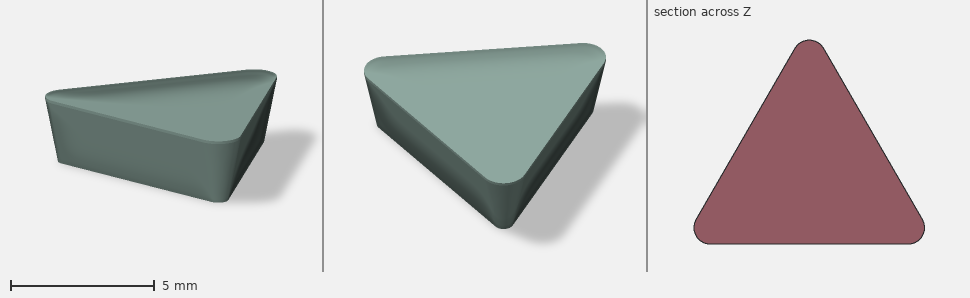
import cadquery as cq
import math

INSCRIBED_DIAMETER = 5.56
NOSE_RADIUS = 0.794
THICKNESS = 2.38
LAND_HEIGHT = 0.1
RELIEF_ANGLE = 11.0

CORNER_COUNT = 3
FIRST_CORNER_ANGLE = 90.0

flank_height = THICKNESS - LAND_HEIGHT
flank_inset = flank_height * math.tan(math.radians(RELIEF_ANGLE))


def polar(radius, angle):
    """Point at the given radius and angle (degrees) about the insert centre."""
    return (
        radius * math.cos(math.radians(angle)),
        radius * math.sin(math.radians(angle)),
    )


def rounded_triangle(inset, height):
    """Closed outline, moved inwards by inset, with concentric corner arcs."""
    nose_radius = NOSE_RADIUS - inset
    nose_centre_distance = 2 * (INSCRIBED_DIAMETER / 2 - NOSE_RADIUS)
    corner_step = 360.0 / CORNER_COUNT
    half_arc = corner_step / 2

    outline = cq.Workplane("XY").workplane(offset=height)
    for corner in range(CORNER_COUNT):
        direction = FIRST_CORNER_ANGLE + corner * corner_step
        centre_x, centre_y = polar(nose_centre_distance, direction)
        arc_points = []
        for angle in (direction - half_arc, direction, direction + half_arc):
            dx, dy = polar(nose_radius, angle)
            arc_points.append((centre_x + dx, centre_y + dy))
        start, middle, end = arc_points
        if corner == 0:
            outline = outline.moveTo(*start)
        else:
            outline = outline.lineTo(*start)
        outline = outline.threePointArc(middle, end)
    return outline.close()


def make_flanks():
    """Tapered body with flat flanks and conical corners."""
    bottom = rounded_triangle(flank_inset, 0).val()
    top = rounded_triangle(0, flank_height).val()
    return cq.Workplane("XY").newObject([cq.Solid.makeLoft([bottom, top], True)])


def make_land():
    """Straight-sided band that carries the cutting edge."""
    return rounded_triangle(0, flank_height).extrude(LAND_HEIGHT)


result = make_flanks().union(make_land())